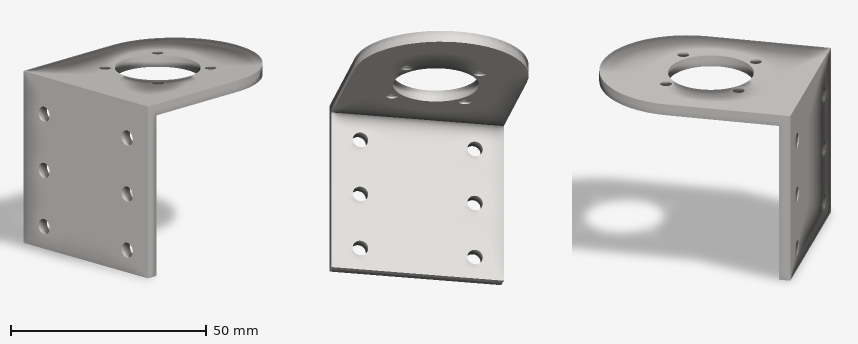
import cadquery as cq
import math

width = 45.0
depth = 55.0
height = 46.0
thickness = 3.0
end_radius = width / 2
straight_length = depth - end_radius

opening_diameter = 22.0
opening_from_front = 26.25
bolt_circle_diameter = 27.0
bolt_hole_diameter = 3.0
bolt_spacing = bolt_circle_diameter / math.sqrt(2)

mount_hole_diameter = 4.0
mount_columns = 2
mount_rows = 3
mount_column_spacing = 30.0
mount_row_spacing = 15.0
top_row_from_top = 10.0
middle_row_z = height - top_row_from_top - mount_row_spacing


def horizontal_plate():
    """Round-ended top plate with the opening and four bolt holes."""
    plate = (
        cq.Workplane("XY", origin=(0, 0, height - thickness))
        .moveTo(-width / 2, 0)
        .lineTo(width / 2, 0)
        .lineTo(width / 2, straight_length)
        .threePointArc((0, depth), (-width / 2, straight_length))
        .close()
        .extrude(thickness)
    )
    hole_plane = cq.Workplane("XY", origin=(0, opening_from_front, height - thickness))
    opening = hole_plane.circle(opening_diameter / 2).extrude(thickness)
    bolt_holes = (
        hole_plane.rect(bolt_spacing, bolt_spacing, forConstruction=True)
        .vertices()
        .circle(bolt_hole_diameter / 2)
        .extrude(thickness)
    )
    return plate.cut(opening).cut(bolt_holes)


def vertical_plate():
    """Rectangular front plate with a grid of mounting holes."""
    plate = cq.Workplane("XY").box(width, thickness, height, centered=(True, False, False))
    holes = (
        cq.Workplane("XZ", origin=(0, 0, middle_row_z))
        .rarray(mount_column_spacing, mount_row_spacing, mount_columns, mount_rows)
        .circle(mount_hole_diameter / 2)
        .extrude(-thickness)
    )
    return plate.cut(holes)


result = horizontal_plate().union(vertical_plate())